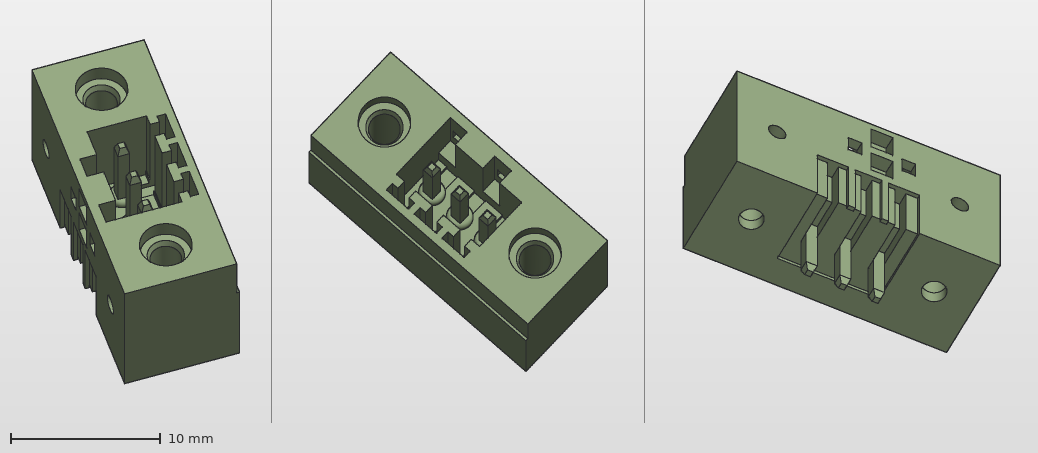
import cadquery as cq


LENGTH = 19.6
HEIGHT = 10.1
FRONT_Y = -3.9
BACK_Y = 4.2
BACK_STEP_DEPTH = 0.2
BACK_STEP_Z = 6.85

PIN_PITCH = 2.5
PIN_XS = [-PIN_PITCH, 0.0, PIN_PITCH]
PIN_WIDTH = 0.82
PIN_BOTTOM_Z = -3.5
PIN_TOP_Z = 9.31
TIP_HEIGHT = 0.59
TIP_WIDTH = 0.43
COLLAR_DIAMETER = 1.8
COLLAR_ROUNDING = 0.3
COLLAR_HEIGHT = 0.4

CAVITY_WIDTH = 7.5
CAVITY_FRONT_Y = -2.02
CAVITY_BACK_Y = 2.15
CAVITY_FLOOR_Z = 3.53
FOOT_LEDGE_DEPTH = 0.08
FOOT_LEDGE_HEIGHT = 0.4

STEM_WIDTH = 1.0
STEM_FLOOR_Z = 3.14
HEAD_WIDTH = 2.0
HEAD_FRONT_Y = 2.82
HEAD_BACK_Y = 3.41

WINDOW_CENTER_X = 1.0
NOTCH_SPACING = 4.0
NOTCH_XS = [WINDOW_CENTER_X - NOTCH_SPACING / 2, WINDOW_CENTER_X + NOTCH_SPACING / 2]
NOTCH_WIDTH = CAVITY_WIDTH - 2 * NOTCH_XS[1]
NOTCH_FRONT_Y = -3.2
NOTCH_FLOOR_Z = 5.0
SMALL_WINDOW_WIDTH = 1.0
SMALL_WINDOW_Z = (6.27, 7.57)
LARGE_WINDOW_WIDTH = 1.6
LARGE_WINDOW_DEPTH = 1.0
LARGE_WINDOWS_Z = [(4.98, 6.86), (7.57, 9.53)]

OPENING_TOP_Z = 4.27
OPENING_DEPTH = 0.3
OPENINGS_HALF_WIDTH = 3.8
DIVIDER_OUTER_X = 1.49
DIVIDER_INNER_X = 0.98
UNDERSIDE_RELIEF = 0.3
CHANNEL_BACK_Y = -2.65
PIN_EXIT_Z = 1.47

SLEEVE_XS = [-6.8, 6.8]
SLEEVE_DIAMETER = 3.5
SLEEVE_BORE = 2.12
ENTRY_DIAMETER = 2.49
ENTRY_HEIGHT = 0.41
SLEEVE_TOP_Z = 8.9
SLEEVE_BOTTOM_Z = 1.0
CLEARANCE_DIAMETER = 1.7
SIDE_HOLE_DIAMETER = 1.3
SIDE_HOLE_Z = HEIGHT / 2

OPENING_BACK_Y = FRONT_Y + OPENING_DEPTH


def block(x_range, y_range, z_range):
    """Box given by its lower and upper limit along each axis."""
    limits = [x_range, y_range, z_range]
    size = [upper - lower for lower, upper in limits]
    corner = [lower for lower, upper in limits]
    return cq.Workplane("XY").box(*size, centered=False).translate(tuple(corner))


def centered(middle, width):
    """Lower and upper limit of a span of the given width about its middle."""
    return (middle - width / 2, middle + width / 2)


def cylinder(x, diameter, bottom_z, top_z):
    """Upright cylinder on the pin row."""
    return cq.Workplane("XY", origin=(x, 0, bottom_z)).circle(diameter / 2).extrude(top_z - bottom_z)


def make_blank():
    """Block whose back face steps forward near the top."""
    blank = block(centered(0, LENGTH), (FRONT_Y, BACK_Y), (0, HEIGHT))
    step = block(centered(0, LENGTH), (BACK_Y - BACK_STEP_DEPTH, BACK_Y), (BACK_STEP_Z, HEIGHT))
    return blank.cut(step)


def cut_cavity(body):
    """Plug cavity with a foot ledge along its back wall, keying notches and T-slots."""
    depth = (CAVITY_FLOOR_Z, HEIGHT)
    cavity = block(centered(0, CAVITY_WIDTH), (CAVITY_FRONT_Y, CAVITY_BACK_Y), depth)
    foot_ledge = block(
        centered(0, CAVITY_WIDTH),
        (CAVITY_BACK_Y - FOOT_LEDGE_DEPTH, CAVITY_BACK_Y),
        (CAVITY_FLOOR_Z, CAVITY_FLOOR_Z + FOOT_LEDGE_HEIGHT),
    )
    body = body.cut(cavity.cut(foot_ledge))
    for x in NOTCH_XS:
        notch_y = (NOTCH_FRONT_Y, CAVITY_FRONT_Y)
        body = body.cut(block(centered(x, NOTCH_WIDTH), notch_y, (NOTCH_FLOOR_Z, HEIGHT)))
    slot_depth = (STEM_FLOOR_Z, HEIGHT)
    for x in PIN_XS:
        body = body.cut(block(centered(x, STEM_WIDTH), (CAVITY_FRONT_Y, HEAD_BACK_Y), slot_depth))
        body = body.cut(block(centered(x, HEAD_WIDTH), (HEAD_FRONT_Y, HEAD_BACK_Y), slot_depth))
    return body


def cut_windows(body):
    """Two blind large windows, and a small window opening into each notch."""
    for z_range in LARGE_WINDOWS_Z:
        depth = (FRONT_Y, FRONT_Y + LARGE_WINDOW_DEPTH)
        body = body.cut(block(centered(WINDOW_CENTER_X, LARGE_WINDOW_WIDTH), depth, z_range))
    for x in NOTCH_XS:
        wall = (FRONT_Y, NOTCH_FRONT_Y)
        body = body.cut(block(centered(x, SMALL_WINDOW_WIDTH), wall, SMALL_WINDOW_Z))
    return body


def cut_front_openings(body):
    """Shallow openings between two dividers, a channel before each pin, and the underside relief."""
    opening_spans = [
        (-OPENINGS_HALF_WIDTH, -DIVIDER_OUTER_X),
        (-DIVIDER_INNER_X, DIVIDER_INNER_X),
        (DIVIDER_OUTER_X, OPENINGS_HALF_WIDTH),
    ]
    for span in opening_spans:
        body = body.cut(block(span, (FRONT_Y, OPENING_BACK_Y), (0, OPENING_TOP_Z)))
    for x in PIN_XS:
        width = centered(x, PIN_WIDTH)
        body = body.cut(block(width, (OPENING_BACK_Y, CHANNEL_BACK_Y), (0, OPENING_TOP_Z)))
        body = body.cut(block(width, (CHANNEL_BACK_Y, -PIN_WIDTH / 2), (0, PIN_EXIT_Z)))
    relief_y = (OPENING_BACK_Y, CAVITY_BACK_Y)
    return body.cut(block(centered(0, 2 * OPENINGS_HALF_WIDTH), relief_y, (0, UNDERSIDE_RELIEF)))


def cut_sleeve_bores(body):
    """Stepped through bores for the sleeves, and side holes from the front face to the sleeve axes."""
    for x in SLEEVE_XS:
        body = body.cut(cylinder(x, SLEEVE_DIAMETER, SLEEVE_BOTTOM_Z, HEIGHT))
        body = body.cut(cylinder(x, CLEARANCE_DIAMETER, 0, SLEEVE_BOTTOM_Z))
        side_hole = (
            cq.Workplane("XZ", origin=(x, FRONT_Y, SIDE_HOLE_Z))
            .circle(SIDE_HOLE_DIAMETER / 2)
            .extrude(FRONT_Y)
        )
        body = body.cut(side_hole)
    return body


def cut_pin_holes(body):
    """Square holes that hold the pin shafts."""
    for x in PIN_XS:
        body = body.cut(block(centered(x, PIN_WIDTH), centered(0, PIN_WIDTH), (0, STEM_FLOOR_Z)))
    return body


def make_housing():
    body = make_blank()
    body = cut_cavity(body)
    body = cut_windows(body)
    body = cut_front_openings(body)
    body = cut_sleeve_bores(body)
    return cut_pin_holes(body)


def make_sleeve(x):
    """Plain sleeve with a conical bore entry at the top."""
    sleeve = cylinder(x, SLEEVE_DIAMETER, SLEEVE_BOTTOM_Z, SLEEVE_TOP_Z)
    sleeve = sleeve.cut(cylinder(x, SLEEVE_BORE, SLEEVE_BOTTOM_Z, SLEEVE_TOP_Z))
    entry = (
        cq.Workplane("XY", origin=(x, 0, SLEEVE_TOP_Z - ENTRY_HEIGHT))
        .circle(SLEEVE_BORE / 2)
        .workplane(offset=ENTRY_HEIGHT)
        .circle(ENTRY_DIAMETER / 2)
        .loft()
    )
    return sleeve.cut(entry)


def make_tip(x, base_z, tip_z):
    """Tapered square pin end between its wide base and its narrow tip."""
    return (
        cq.Workplane("XY", origin=(x, 0, base_z))
        .rect(PIN_WIDTH, PIN_WIDTH)
        .workplane(offset=tip_z - base_z)
        .rect(TIP_WIDTH, TIP_WIDTH)
        .loft()
    )


def make_pin(x):
    """Square pin, tapered at both ends, with a domed collar resting on the cavity floor."""
    shaft_z = (PIN_BOTTOM_Z + TIP_HEIGHT, PIN_TOP_Z - TIP_HEIGHT)
    shaft = block(centered(x, PIN_WIDTH), centered(0, PIN_WIDTH), shaft_z)
    collar = cylinder(x, COLLAR_DIAMETER, CAVITY_FLOOR_Z, CAVITY_FLOOR_Z + COLLAR_HEIGHT)
    collar = collar.edges(">Z").fillet(COLLAR_ROUNDING)
    lower_tip = make_tip(x, shaft_z[0], PIN_BOTTOM_Z)
    upper_tip = make_tip(x, shaft_z[1], PIN_TOP_Z)
    return shaft.union(collar).union(lower_tip).union(upper_tip)


housing = make_housing()
sleeves = [make_sleeve(x).val() for x in SLEEVE_XS]
pins = [make_pin(x).val() for x in PIN_XS]

result = cq.Compound.makeCompound([housing.val(), *sleeves, *pins])